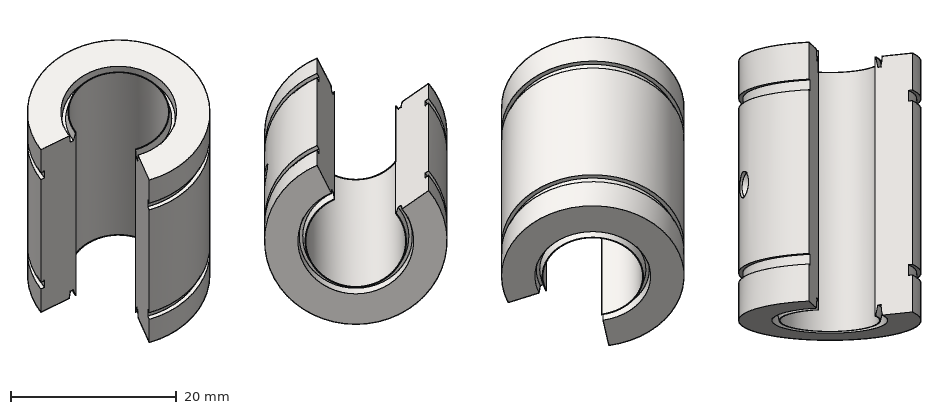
import cadquery as cq
import math

length = 32.0
outer_radius = 11.0
bore_radius = 6.0
opening_half_angle = 39.0

ring_groove_offset = 4.58
ring_groove_width = 1.3
ring_groove_depth = 0.5

seal_depth = 1.3
seal_mouth_inner_radius = 6.1
seal_mouth_outer_radius = 6.98
seal_floor_inner_radius = 6.4
seal_floor_outer_radius = 6.8

dimple_y = 1.35
dimple_radius = 1.6
dimple_wall_depth = 0.6
dimple_tip_angle = 118.0

half_length = length / 2


def revolve_profile(points):
    """Revolve a closed (radius, z) outline about the Z axis."""
    return cq.Workplane("XZ").polyline(points).close().revolve(360, (0, 0, 0), (0, 1, 0))


def ring_groove():
    top = half_length - ring_groove_offset
    bottom = top - ring_groove_width
    floor_radius = outer_radius - ring_groove_depth
    clear_radius = outer_radius + ring_groove_depth
    return revolve_profile(
        [(floor_radius, bottom), (clear_radius, bottom), (clear_radius, top), (floor_radius, top)]
    )


def seal_groove():
    floor = half_length - seal_depth
    return revolve_profile([
        (seal_mouth_inner_radius, half_length),
        (seal_floor_inner_radius, floor),
        (seal_floor_outer_radius, floor),
        (seal_mouth_outer_radius, half_length),
    ])


def opening():
    """Wedge with radial side faces, reaching past the outer surface."""
    reach = 2 * outer_radius
    half_width = reach * math.tan(math.radians(opening_half_angle))
    return (
        cq.Workplane("XY", origin=(0, 0, -half_length))
        .polyline([(0, 0), (-half_width, -reach), (half_width, -reach)])
        .close()
        .extrude(length)
    )


def dimple():
    """Blind hole along X with a drill-point floor."""
    surface_x = -math.sqrt(outer_radius**2 - dimple_y**2)
    shoulder_x = surface_x + dimple_wall_depth
    tip_x = shoulder_x + dimple_radius / math.tan(math.radians(dimple_tip_angle / 2))
    return (
        cq.Workplane("XY")
        .polyline([
            (-outer_radius, dimple_y),
            (-outer_radius, dimple_y + dimple_radius),
            (shoulder_x, dimple_y + dimple_radius),
            (tip_x, dimple_y),
        ])
        .close()
        .revolve(360, (0, dimple_y, 0), (1, dimple_y, 0))
    )


body = revolve_profile([
    (bore_radius, -half_length),
    (outer_radius, -half_length),
    (outer_radius, half_length),
    (bore_radius, half_length),
])

for groove in (ring_groove(), seal_groove()):
    body = body.cut(groove).cut(groove.mirror("XY"))

result = body.cut(opening()).cut(dimple())